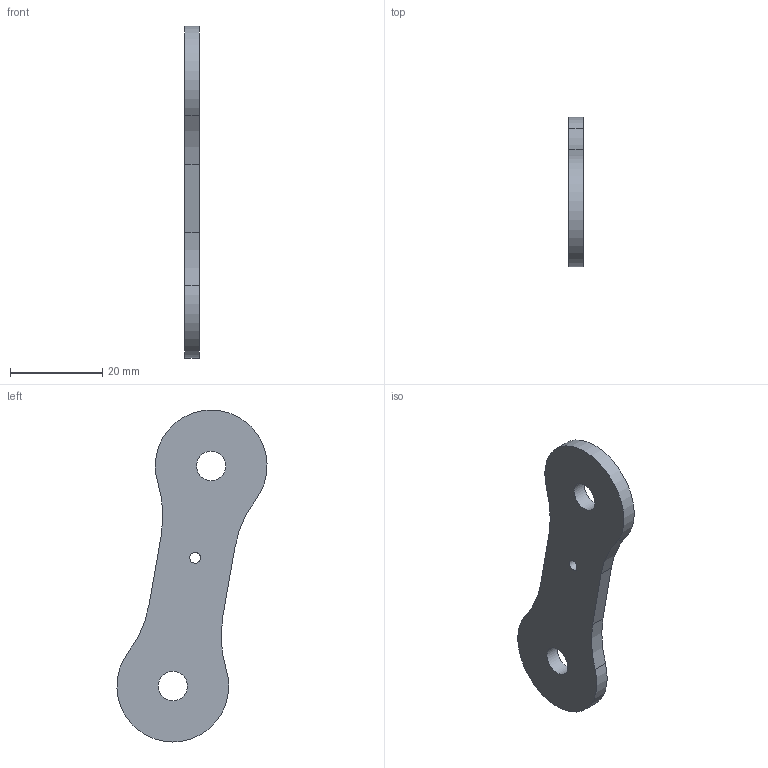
import cadquery as cq
import math

thickness = 3.17
overall_width = 32.53
overall_height = 71.92
end_radius = 12.115
waist_half_width = 8.08
blend_radius = 24.3
pivot_diameter = 6.35
small_hole_diameter = 2.38
small_hole_from_upper_pivot = 20.2

pivot_offset_y = overall_width - 2 * end_radius
pivot_offset_z = overall_height - 2 * end_radius
pivot_distance = math.hypot(pivot_offset_y, pivot_offset_z)
tilt_degrees = math.degrees(math.atan2(pivot_offset_y, pivot_offset_z))
half_distance = pivot_distance / 2

blend_angle = math.acos((waist_half_width + blend_radius) / (end_radius + blend_radius))
blend_centre_across = waist_half_width + blend_radius
blend_centre_along = half_distance - (end_radius + blend_radius) * math.sin(blend_angle)
end_tangent_across = end_radius * math.cos(blend_angle)
end_tangent_along = half_distance - end_radius * math.sin(blend_angle)
blend_mid_across = blend_centre_across - blend_radius * math.cos(blend_angle / 2)
blend_mid_along = blend_centre_along + blend_radius * math.sin(blend_angle / 2)


def link_plate():
    """Upright dog-bone plate: X of the sketch is the part's Y, Y of the sketch is Z."""
    return (
        cq.Workplane("YZ")
        .moveTo(waist_half_width, -blend_centre_along)
        .lineTo(waist_half_width, blend_centre_along)
        .threePointArc((blend_mid_across, blend_mid_along), (end_tangent_across, end_tangent_along))
        .threePointArc((0, half_distance + end_radius), (-end_tangent_across, end_tangent_along))
        .threePointArc((-blend_mid_across, blend_mid_along), (-waist_half_width, blend_centre_along))
        .lineTo(-waist_half_width, -blend_centre_along)
        .threePointArc((-blend_mid_across, -blend_mid_along), (-end_tangent_across, -end_tangent_along))
        .threePointArc((0, -half_distance - end_radius), (end_tangent_across, -end_tangent_along))
        .threePointArc((blend_mid_across, -blend_mid_along), (waist_half_width, -blend_centre_along))
        .close()
        .extrude(thickness)
    )


def through_holes(along_positions, diameter):
    """Cutters through the thickness, on the plate's long axis."""
    centres = [(0, along) for along in along_positions]
    return cq.Workplane("YZ").pushPoints(centres).circle(diameter / 2).extrude(thickness)


pivot_holes = through_holes([half_distance, -half_distance], pivot_diameter)
small_hole = through_holes([half_distance - small_hole_from_upper_pivot], small_hole_diameter)

upright_link = link_plate().cut(pivot_holes).cut(small_hole)

result = upright_link.rotate((0, 0, 0), (1, 0, 0), tilt_degrees)